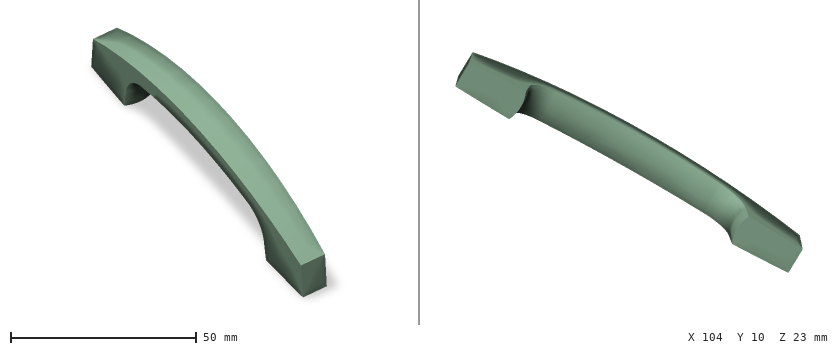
import cadquery as cq
import math

length = 104.0
width = 10.0
height = 23.0
end_width = 7.7

shoulder_height = 11.5
end_lean = 0.9

opening_height = 16.8
foot_half_gap = 33.8
leg_lean = math.radians(9)
roof_radius = 113.4
corner_radius = 9.4

crown_rise = 1.2
crown_depth = 2.1
base_extension = 3.1

leg_up = (math.sin(leg_lean), math.cos(leg_lean))
leg_inward = (math.cos(leg_lean), -math.sin(leg_lean))


def along(start, direction, distance):
    return (start[0] + direction[0] * distance, start[1] + direction[1] * distance)


foot = (-foot_half_gap, 0.0)
leg_start = along(foot, leg_up, -base_extension)
roof_center = (0.0, opening_height - roof_radius)


def corner_center():
    """Centre of the corner arc tangent to the left leg and the roof arc."""
    base = along(foot, leg_inward, corner_radius)
    dx = base[0] - roof_center[0]
    dz = base[1] - roof_center[1]
    half_b = dx * leg_up[0] + dz * leg_up[1]
    c = dx**2 + dz**2 - (roof_radius - corner_radius) ** 2
    return along(base, leg_up, -half_b + math.sqrt(half_b**2 - c))


def mirrored(point):
    return (-point[0], point[1])


def opening_path(offset):
    """Leg, corner, roof, corner, leg: the opening enlarged by offset."""
    center = corner_center()
    radius = corner_radius + offset
    start = along(leg_start, leg_inward, -offset)
    leg_top = along(center, leg_inward, -radius)
    roof_angle = math.atan2(center[1] - roof_center[1], center[0])
    leg_angle = math.pi - leg_lean
    middle_angle = (roof_angle + leg_angle) / 2

    def on_corner(angle):
        return along(center, (math.cos(angle), math.sin(angle)), radius)

    middle = on_corner(middle_angle)
    roof_start = on_corner(roof_angle)
    return (
        cq.Workplane("XZ")
        .moveTo(*start)
        .lineTo(*leg_top)
        .threePointArc(middle, roof_start)
        .threePointArc((0, opening_height + offset), mirrored(roof_start))
        .threePointArc(mirrored(middle), mirrored(leg_top))
        .lineTo(*mirrored(start))
    )


def arched_body():
    """Arched block with the opening cut to the edges of the crown."""
    shoulder_x = length / 2 - end_lean
    block = (
        cq.Workplane("XZ")
        .moveTo(-length / 2, 0)
        .lineTo(-shoulder_x, shoulder_height)
        .threePointArc((0, height), (shoulder_x, shoulder_height))
        .lineTo(length / 2, 0)
        .close()
        .extrude(width / 2, both=True)
    )
    opening = opening_path(crown_rise).close().extrude(width, both=True)
    return block.cut(opening)


def crowned_strip():
    """Strip bulging into the opening, swept along its centre line."""
    section_plane = cq.Plane(
        origin=(leg_start[0], 0, leg_start[1]),
        xDir=(-leg_inward[0], 0, -leg_inward[1]),
        normal=(leg_up[0], 0, leg_up[1]),
    )
    return (
        cq.Workplane(section_plane)
        .moveTo(crown_rise, -width / 2)
        .threePointArc((0, 0), (crown_rise, width / 2))
        .lineTo(crown_depth, width / 2)
        .lineTo(crown_depth, -width / 2)
        .close()
        .sweep(opening_path(0))
    )


def plan_envelope():
    """Upright envelope with bowed sides, from the base plane up."""
    x = length / 2
    y = end_width / 2
    return (
        cq.Workplane("XY")
        .moveTo(-x, -y)
        .threePointArc((0, -width / 2), (x, -y))
        .lineTo(x, y)
        .threePointArc((0, width / 2), (-x, y))
        .close()
        .extrude(height)
    )


result = arched_body().union(crowned_strip()).intersect(plan_envelope())